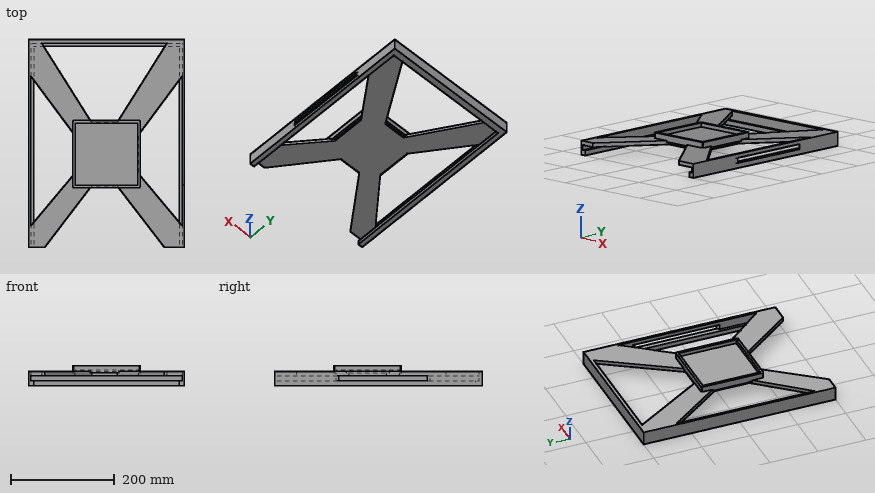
import cadquery as cq

WIDTH = 300.0
DEPTH = 400.0
FRAME_HEIGHT = 28.0
SIDE_WALL = 4.5
BACK_WALL = 7.5
LIP = 6.0
LIP_HEIGHT = 10.0
TOP_THICKNESS = 8.0
SHEET_BOTTOM = FRAME_HEIGHT - TOP_THICKNESS

HALF_WIDTH = WIDTH / 2
HALF_DEPTH = DEPTH / 2
INNER_SIDE = HALF_WIDTH - SIDE_WALL
INNER_BACK = HALF_DEPTH - BACK_WALL

TOTAL_HEIGHT = 39.02
HUB_SIZE = 130.0
HUB_Y = -21.0
HUB_BOTTOM = 25.0
HUB_CORNER_CHAMFER = 2.0
HUB_RIM = 5.0
HUB_POCKET_DEPTH = 8.0
HUB_HALF = HUB_SIZE / 2

PAD_SIZE = 122.0
PAD_HALF = PAD_SIZE / 2
PAD_FRONT = HUB_Y - PAD_HALF
PAD_BACK = HUB_Y + PAD_HALF

PAD_GAP_LEFT = -28.5
PAD_GAP_RIGHT = 20.3
PAD_GAP_FRONT = -57.7
PAD_GAP_BACK = 15.3
SIDE_OPENING_FRONT = -158.5
SIDE_OPENING_BACK = 129.0
BACK_OPENING_LEFT = -124.5
BACK_OPENING_RIGHT = 116.0
FRONT_OPENING_LEFT = -118.5
FRONT_OPENING_RIGHT = 111.0

WINDOW_FRONT = -82.0
WINDOW_BACK = 98.8
WINDOW_FLARE = 5.3
WINDOW_HEIGHT = 10.0


def block(x_min, x_max, y_min, y_max, z_min, z_max):
    """Axis-aligned box given by its limits."""
    size = (x_max - x_min, y_max - y_min, z_max - z_min)
    return cq.Workplane("XY").box(*size, centered=False).translate((x_min, y_min, z_min))


def top_opening(points):
    """Cutter through the top sheet with the given outline."""
    return cq.Workplane("XY").workplane(offset=SHEET_BOTTOM).polyline(points).close().extrude(TOP_THICKNESS)


def make_frame():
    """Block with the tray channel and the clear space between the lips removed."""
    frame = block(-HALF_WIDTH, HALF_WIDTH, -HALF_DEPTH, HALF_DEPTH, 0, FRAME_HEIGHT)
    channel = block(-INNER_SIDE, INNER_SIDE, -HALF_DEPTH, INNER_BACK, LIP_HEIGHT, SHEET_BOTTOM)
    lip_side = INNER_SIDE - LIP
    between_lips = block(-lip_side, lip_side, -HALF_DEPTH, INNER_BACK - LIP, 0, LIP_HEIGHT)
    return frame.cut(channel).cut(between_lips)


def cut_top_openings(frame):
    """Front, back and two side openings in the top sheet."""
    front = [
        (FRONT_OPENING_LEFT, -HALF_DEPTH),
        (FRONT_OPENING_RIGHT, -HALF_DEPTH),
        (PAD_GAP_RIGHT, PAD_FRONT),
        (PAD_GAP_LEFT, PAD_FRONT),
    ]
    back = [
        (BACK_OPENING_LEFT, INNER_BACK),
        (BACK_OPENING_RIGHT, INNER_BACK),
        (PAD_GAP_RIGHT, PAD_BACK),
        (PAD_GAP_LEFT, PAD_BACK),
    ]
    frame = frame.cut(top_opening(front)).cut(top_opening(back))
    for side in (-1, 1):
        outline = [
            (side * INNER_SIDE, SIDE_OPENING_FRONT),
            (side * INNER_SIDE, SIDE_OPENING_BACK),
            (side * PAD_HALF, PAD_GAP_BACK),
            (side * PAD_HALF, PAD_GAP_FRONT),
        ]
        frame = frame.cut(top_opening(outline))
    return frame


def cut_window(frame):
    """Slot through the +X wall, level with the bottom of the tray channel."""
    outline = [
        (INNER_SIDE, WINDOW_FRONT),
        (HALF_WIDTH, WINDOW_FRONT + WINDOW_FLARE),
        (HALF_WIDTH, WINDOW_BACK - WINDOW_FLARE),
        (INNER_SIDE, WINDOW_BACK),
    ]
    window = cq.Workplane("XY").workplane(offset=LIP_HEIGHT).polyline(outline).close().extrude(WINDOW_HEIGHT)
    return frame.cut(window)


def add_hub(frame):
    """Square tray with chamfered vertical corners and a shallow pocket in its top."""
    outside = block(-HUB_HALF, HUB_HALF, HUB_Y - HUB_HALF, HUB_Y + HUB_HALF, HUB_BOTTOM, TOTAL_HEIGHT)
    outside = outside.edges("|Z").chamfer(HUB_CORNER_CHAMFER)
    inner_half = HUB_HALF - HUB_RIM
    pocket = block(
        -inner_half, inner_half, HUB_Y - inner_half, HUB_Y + inner_half,
        TOTAL_HEIGHT - HUB_POCKET_DEPTH, TOTAL_HEIGHT,
    )
    return frame.union(outside).cut(pocket)


result = add_hub(cut_window(cut_top_openings(make_frame())))